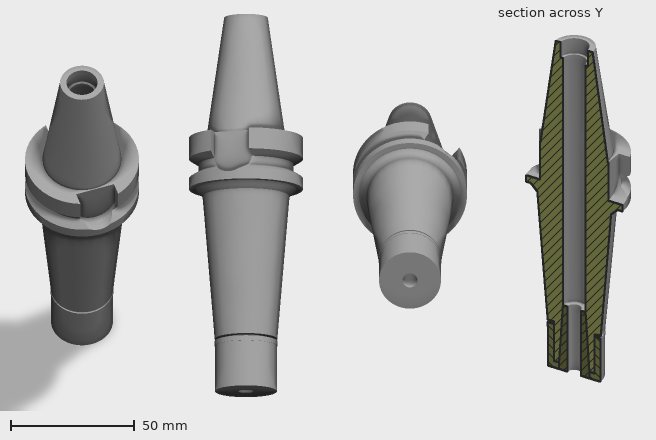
import cadquery as cq

TOTAL_HEIGHT = 153.4
GAUGE_Z = 105.1
FLANGE_TOP_Z = 104.0
GROOVE_TOP_Z = 95.4
GROOVE_FLOOR_TOP_Z = 93.1
GROOVE_FLOOR_BOTTOM_Z = 89.7
GROOVE_BOTTOM_Z = 87.5
FLANGE_BOTTOM_Z = 83.0
BODY_TOP_Z = 80.0
BODY_BOTTOM_Z = 21.5
NUT_TOP_Z = 20.5
COLLAR_BOTTOM_Z = 18.5

GAUGE_DIAMETER = 31.8
SHANK_TAPER = 7 / 24
SHANK_TOP_DIAMETER = GAUGE_DIAMETER - (TOTAL_HEIGHT - GAUGE_Z) * SHANK_TAPER
FLANGE_DIAMETER = 46.0
GROOVE_DIAMETER = 38.4
FLANGE_UNDERSIDE_DIAMETER = 41.1
BODY_TOP_DIAMETER = 35.1
BODY_BOTTOM_DIAMETER = 25.3
NECK_DIAMETER = 19.3

MOUTH_DIAMETER = 12.6
MOUTH_DEPTH = 7.0
BORE_DIAMETER = 10.5

SLOT_WIDTH = 16.1
SLOT_FLOOR_X = 16.3
SLOT_BOTTOM_Z = 86.2

NUT_DIAMETER = 25.0
COLLAR_DIAMETER = 25.3
NUT_LIP_THICKNESS = 3.0

COLLET_TOP_Z = 30.7
COLLET_FRONT_DIAMETER = 14.1
COLLET_BACK_DIAMETER = BORE_DIAMETER
TOOL_HOLE_DIAMETER = 6.1


def turned(outline):
    """Solid of revolution about Z from a closed outline of (diameter, height) points."""
    points = [(diameter / 2, height) for diameter, height in outline]
    return cq.Workplane("XZ").polyline(points).close().revolve(360, (0, 0, 0), (0, 1, 0))


def make_drive_slot():
    """Cutter for the +X slot: a round-bottomed slot, open at the top and outward."""
    half_width = SLOT_WIDTH / 2
    arc_start_z = SLOT_BOTTOM_Z + half_width
    return (
        cq.Workplane("YZ", origin=(SLOT_FLOOR_X, 0, 0))
        .moveTo(-half_width, FLANGE_TOP_Z)
        .lineTo(-half_width, arc_start_z)
        .threePointArc((0, SLOT_BOTTOM_Z), (half_width, arc_start_z))
        .lineTo(half_width, FLANGE_TOP_Z)
        .close()
        .extrude(FLANGE_DIAMETER / 2)
    )


def make_holder():
    """Taper shank, grooved flange, conical body and neck, bored through for the collet."""
    mouth_bottom_z = TOTAL_HEIGHT - MOUTH_DEPTH
    holder = turned([
        (NECK_DIAMETER, NUT_LIP_THICKNESS),
        (NECK_DIAMETER, BODY_BOTTOM_Z),
        (BODY_BOTTOM_DIAMETER, BODY_BOTTOM_Z),
        (BODY_TOP_DIAMETER, BODY_TOP_Z),
        (FLANGE_UNDERSIDE_DIAMETER, FLANGE_BOTTOM_Z),
        (FLANGE_DIAMETER, FLANGE_BOTTOM_Z),
        (FLANGE_DIAMETER, GROOVE_BOTTOM_Z),
        (GROOVE_DIAMETER, GROOVE_FLOOR_BOTTOM_Z),
        (GROOVE_DIAMETER, GROOVE_FLOOR_TOP_Z),
        (FLANGE_DIAMETER, GROOVE_TOP_Z),
        (FLANGE_DIAMETER, FLANGE_TOP_Z),
        (GAUGE_DIAMETER, FLANGE_TOP_Z),
        (GAUGE_DIAMETER, GAUGE_Z),
        (SHANK_TOP_DIAMETER, TOTAL_HEIGHT),
        (MOUTH_DIAMETER, TOTAL_HEIGHT),
        (MOUTH_DIAMETER, mouth_bottom_z),
        (BORE_DIAMETER, mouth_bottom_z),
        (BORE_DIAMETER, COLLET_TOP_Z),
        (COLLET_FRONT_DIAMETER, NUT_LIP_THICKNESS),
    ])
    slot = make_drive_slot()
    for slot_angle in (0, 180):
        holder = holder.cut(slot.rotate((0, 0, 0), (0, 0, 1), slot_angle))
    return holder


def make_nut():
    """Cap nut around the neck, with a slightly wider collar at its upper end."""
    return turned([
        (COLLET_FRONT_DIAMETER, 0),
        (NUT_DIAMETER, 0),
        (NUT_DIAMETER, COLLAR_BOTTOM_Z),
        (COLLAR_DIAMETER, COLLAR_BOTTOM_Z),
        (COLLAR_DIAMETER, NUT_TOP_Z),
        (NECK_DIAMETER, NUT_TOP_Z),
        (NECK_DIAMETER, NUT_LIP_THICKNESS),
        (COLLET_FRONT_DIAMETER, NUT_LIP_THICKNESS),
    ])


def make_collet():
    """Tapered sleeve in the holder seat, straight where it passes through the nut."""
    return turned([
        (TOOL_HOLE_DIAMETER, 0),
        (COLLET_FRONT_DIAMETER, 0),
        (COLLET_FRONT_DIAMETER, NUT_LIP_THICKNESS),
        (COLLET_BACK_DIAMETER, COLLET_TOP_Z),
        (TOOL_HOLE_DIAMETER, COLLET_TOP_Z),
    ])


holder = make_holder()
nut = make_nut()
collet = make_collet()

result = cq.Compound.makeCompound([holder.val(), nut.val(), collet.val()])